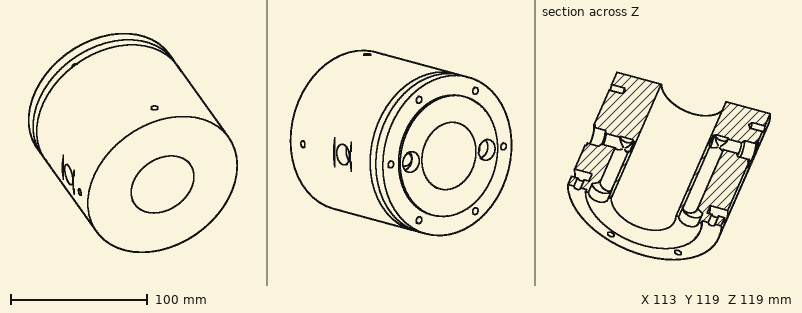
import cadquery as cq
import math

outer_diameter = 119.0
overall_length = 113.0
bore_diameter = 50.0
spigot_diameter = 90.0
spigot_length = 2.0
flange_thickness = 8.5
groove_diameter = 92.0
groove_width = 6.8

bolt_count = 6
bolt_hole_diameter = 5.0
bolt_circle_radius = 52.0

port_diameter = 15.2
port_depth = 8.7
passage_diameter = 10.0
end_port_radius = 35.0
passage_radius = 32.6
passage_overrun = 1.0
flat_depth = 1.0
flat_length = 20.0
front_port_x = 75.2
back_port_x = 51.0

small_hole_diameter = 5.0
small_hole_depth = 10.0
small_hole_x = 98.0
small_hole_count = 4

drill_point_angle = 118.0

outer_radius = outer_diameter / 2
flange_end_x = spigot_length + flange_thickness
body_start_x = flange_end_x + groove_width


def bar(diameter, start_x, end_x, y=0, z=0):
    """Cylinder along X between two stations."""
    plane = cq.Workplane("YZ", origin=(start_x, y, z))
    return plane.circle(diameter / 2).extrude(end_x - start_x)


def drill(diameter, depth, start, direction):
    """Drilled hole with a conical point; depth is that of the full diameter."""
    radius = diameter / 2
    tip = radius / math.tan(math.radians(drill_point_angle / 2))
    origin = cq.Vector(*start)
    axis = cq.Vector(*direction)
    shank = cq.Solid.makeCylinder(radius, depth, origin, axis)
    point = cq.Solid.makeCone(radius, 0, tip, origin + axis * depth, axis)
    return cq.Workplane(obj=shank).union(cq.Workplane(obj=point))


def turned_body():
    body = bar(spigot_diameter, 0, spigot_length)
    body = body.union(bar(outer_diameter, spigot_length, flange_end_x))
    body = body.union(bar(groove_diameter, flange_end_x, body_start_x))
    body = body.union(bar(outer_diameter, body_start_x, overall_length))
    return body.cut(bar(bore_diameter, 0, overall_length))


def cut_bolt_holes(body):
    for index in range(bolt_count):
        angle = math.radians(index * 360 / bolt_count)
        y = bolt_circle_radius * math.cos(angle)
        z = bolt_circle_radius * math.sin(angle)
        body = body.cut(bar(bolt_hole_diameter, 0, flange_end_x, y, z))
    return body


def cut_port_pair(body, side, port_x):
    """Flat and side port on one side (+1 or -1 in Y), joined to a port in the end face."""
    flat_y = outer_radius - flat_depth
    flat = cq.Workplane("XY").box(flat_length, 2 * flat_depth, outer_diameter)
    body = body.cut(flat.translate((port_x, side * outer_radius, 0)))

    side_port = drill(port_diameter, port_depth, (port_x, side * flat_y, 0), (0, -side, 0))
    end_port = drill(port_diameter, port_depth, (0, side * end_port_radius, 0), (1, 0, 0))
    body = body.cut(side_port).cut(end_port)

    past_axis = passage_diameter / 2 + passage_overrun
    inner_y = passage_radius - past_axis
    side_plane = cq.Workplane("XZ", origin=(port_x, side * inner_y, 0))
    side_passage = side_plane.circle(passage_diameter / 2).extrude(-side * (flat_y - port_depth - inner_y))
    axial_passage = bar(passage_diameter, port_depth, port_x + past_axis, side * passage_radius)
    return body.cut(side_passage).cut(axial_passage)


def cut_small_holes(body):
    for index in range(small_hole_count):
        angle = math.radians(index * 360 / small_hole_count)
        y = math.cos(angle)
        z = math.sin(angle)
        start = (small_hole_x, outer_radius * y, outer_radius * z)
        body = body.cut(drill(small_hole_diameter, small_hole_depth, start, (0, -y, -z)))
    return body


result = turned_body()
result = cut_bolt_holes(result)
result = cut_port_pair(result, -1, front_port_x)
result = cut_port_pair(result, 1, back_port_x)
result = cut_small_holes(result)